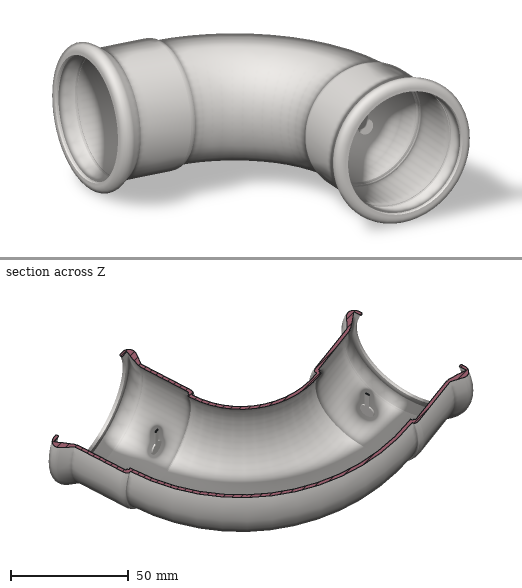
import cadquery as cq
import math

overall_length = 132.5
bead_diameter = 65.5
socket_length = 37.4
bend_radius = overall_length - bead_diameter / 2 - socket_length

tube_outer_diameter = 54.0
tube_bore_diameter = 50.9

socket_outer_diameter = 57.5
socket_bore_diameter = 54.5
socket_bore_depth = 35.2
stop_bore_diameter = 53.0
stop_bore_depth = 36.0
mouth_bore_diameter = 55.0
lip_chamfer_radial = 0.3
lip_chamfer_depth = 0.7
lip_length = 1.6
groove_diameter = 61.5
groove_end_depth = 9.5
mouth_bore_depth = 10.6
bead_arc_radius = 3.5
bead_cone_start = 5.4
bead_cone_end = 10.5
shoulder_length = 2.4
shoulder_drop = 0.8

hub_diameter = 6.9
spoke_width = 2.1
marker_thickness = 0.7


def place_at_y_mouth(shape):
    """Move a shape from the Z axis to the mouth facing -Y, turning +Y to +Z."""
    upright = shape.rotate((0, 0, 0), (1, 0, 0), -90)
    upright = upright.rotate((0, 0, 0), (0, 1, 0), 180)
    return upright.translate((-bend_radius, -socket_length, 0))


def place_at_x_mouth(shape):
    """Mirror the -Y mouth placement across the symmetry plane of the bend."""
    at_y_mouth = place_at_y_mouth(shape)
    return at_y_mouth.mirror("YZ").rotate((0, 0, 0), (0, 0, 1), 90)


placements = [place_at_y_mouth, place_at_x_mouth]


def bend_solid(diameter):
    """Quarter torus joining the two socket ends."""
    return (
        cq.Workplane("XZ")
        .center(-bend_radius, 0)
        .circle(diameter / 2)
        .revolve(90, (bend_radius, 0, 0), (bend_radius, -1, 0))
    )


def socket_outside():
    """Solid of revolution with the rounded bead, its cone and the rear shoulder."""
    bead_radius = bead_diameter / 2
    socket_radius = socket_outer_diameter / 2
    arc_center_radius = bead_radius - bead_arc_radius
    cone_offset = bead_cone_start - bead_arc_radius
    cone_radius = arc_center_radius + math.sqrt(bead_arc_radius**2 - cone_offset**2)
    shoulder_start = socket_length - shoulder_length
    return (
        cq.Workplane("XZ")
        .lineTo(arc_center_radius, 0)
        .threePointArc((bead_radius, bead_arc_radius), (cone_radius, bead_cone_start))
        .lineTo(socket_radius, bead_cone_end)
        .lineTo(socket_radius, shoulder_start)
        .tangentArcPoint((socket_radius - shoulder_drop, socket_length), relative=False)
        .lineTo(0, socket_length)
        .close()
        .revolve(360, (0, 0, 0), (0, 1, 0))
    )


def socket_inside():
    """Stepped bore, narrowing to the tube bore, with a groove behind the mouth lip."""
    cavity = cq.Workplane("XY").circle(tube_bore_diameter / 2).extrude(socket_length)
    steps = [
        (stop_bore_diameter, stop_bore_depth),
        (socket_bore_diameter, socket_bore_depth),
        (mouth_bore_diameter, mouth_bore_depth),
    ]
    for diameter, depth in steps:
        cavity = cavity.union(cq.Workplane("XY").circle(diameter / 2).extrude(depth))
    return cavity.union(lip_chamfer()).union(lip_groove())


def lip_chamfer():
    """Lead-in at the mouth edge."""
    lip_radius = mouth_bore_diameter / 2
    profile = [
        (0, 0),
        (lip_radius + lip_chamfer_radial, 0),
        (lip_radius, lip_chamfer_depth),
        (0, lip_chamfer_depth),
    ]
    return cq.Workplane("XZ").polyline(profile).close().revolve(360, (0, 0, 0), (0, 1, 0))


def lip_groove():
    """Groove just behind the mouth lip, tapering back to the mouth bore."""
    lip_radius = mouth_bore_diameter / 2
    profile = [
        (0, lip_length),
        (groove_diameter / 2, lip_length),
        (lip_radius, groove_end_depth),
        (0, groove_end_depth),
    ]
    return cq.Workplane("XZ").polyline(profile).close().revolve(360, (0, 0, 0), (0, 1, 0))


def make_elbow():
    tube = bend_solid(tube_outer_diameter).cut(bend_solid(tube_bore_diameter))
    socket = socket_outside().cut(socket_inside())
    elbow = tube
    for place in placements:
        elbow = elbow.union(place(socket))
    return elbow


def make_marker():
    """Round hub on the bore axis, with a spoke out to the socket bore wall."""
    bore_radius = socket_bore_diameter / 2
    hub = cq.Workplane("XY").circle(hub_diameter / 2).extrude(marker_thickness)
    spoke = (
        cq.Workplane("XY")
        .center(0, bore_radius / 2)
        .rect(spoke_width, bore_radius)
        .extrude(marker_thickness)
    )
    bore = cq.Workplane("XY").circle(bore_radius).extrude(marker_thickness)
    plate = hub.union(spoke).intersect(bore)
    return plate.translate((0, 0, socket_bore_depth - marker_thickness))


elbow = make_elbow()
marker = make_marker()
markers = [place(marker) for place in placements]

result = cq.Compound.makeCompound([elbow.val(), *[plate.val() for plate in markers]])